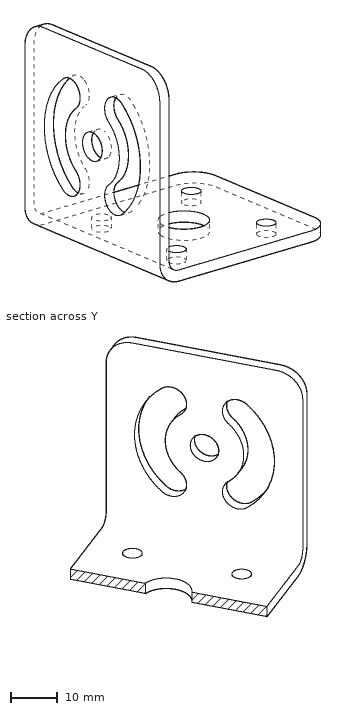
import cadquery as cq
import math

width = 45.0
leg_length = 48.0
thickness = 2.6
inner_bend_radius = 2.6
outer_bend_radius = inner_bend_radius + thickness
corner_radius = 6.0

pattern_center = leg_length - width / 2

base_bore_diameter = 11.0
mounting_hole_diameter = 4.2
mounting_hole_spacing = 25.0

pivot_hole_diameter = 6.5
slot_center_radius = 12.5
slot_width = 7.0
slot_half_angle = 52.5


def bent_sheet():
    """L-shaped sheet with a rounded bend, centred on X = 0."""
    profile = (
        cq.Workplane("YZ")
        .moveTo(outer_bend_radius, 0)
        .lineTo(leg_length, 0)
        .lineTo(leg_length, thickness)
        .lineTo(outer_bend_radius, thickness)
        .radiusArc((thickness, outer_bend_radius), inner_bend_radius)
        .lineTo(thickness, leg_length)
        .lineTo(0, leg_length)
        .lineTo(0, outer_bend_radius)
        .radiusArc((outer_bend_radius, 0), -outer_bend_radius)
        .close()
    )
    return profile.extrude(width / 2, both=True)


def round_free_corners(sheet):
    """Round the two outer corners of each plate."""
    sheet = sheet.faces(">Y").edges("|Z").fillet(corner_radius)
    return sheet.faces(">Z").edges("|Y").fillet(corner_radius)


def base_hole_cutter():
    """Central bore and four mounting holes through the base plate."""
    base = cq.Workplane("XY").center(0, pattern_center)
    bore = base.circle(base_bore_diameter / 2).extrude(thickness)
    mounting_holes = (
        base.rect(mounting_hole_spacing, mounting_hole_spacing, forConstruction=True)
        .vertices()
        .circle(mounting_hole_diameter / 2)
        .extrude(thickness)
    )
    return bore.union(mounting_holes)


def polar_point(radius, angle):
    """Point at an angle in degrees around the pattern centre."""
    return (
        radius * math.cos(math.radians(angle)),
        radius * math.sin(math.radians(angle)),
    )


def arc_slot_cutter(mid_angle):
    """Round-ended arc slot through the upright, concentric with the pivot hole."""
    start = mid_angle - slot_half_angle
    end = mid_angle + slot_half_angle
    inner_radius = slot_center_radius - slot_width / 2
    outer_radius = slot_center_radius + slot_width / 2
    return (
        cq.Workplane("XZ")
        .center(0, pattern_center)
        .moveTo(*polar_point(outer_radius, start))
        .threePointArc(polar_point(outer_radius, mid_angle), polar_point(outer_radius, end))
        .tangentArcPoint(polar_point(inner_radius, end), relative=False)
        .threePointArc(polar_point(inner_radius, mid_angle), polar_point(inner_radius, start))
        .tangentArcPoint(polar_point(outer_radius, start), relative=False)
        .close()
        .extrude(-thickness)
    )


def pivot_hole_cutter():
    """Pivot hole through the upright plate."""
    upright = cq.Workplane("XZ").center(0, pattern_center)
    return upright.circle(pivot_hole_diameter / 2).extrude(-thickness)


result = round_free_corners(bent_sheet())
result = result.cut(base_hole_cutter()).cut(pivot_hole_cutter())
for slot_angle in (0, 180):
    result = result.cut(arc_slot_cutter(slot_angle))